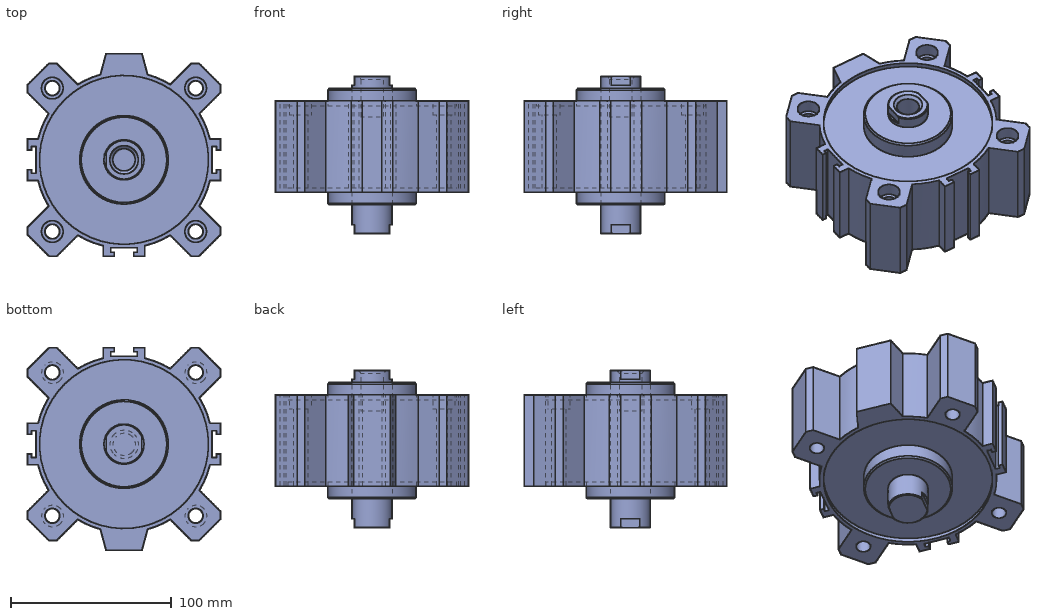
import cadquery as cq
import math

barrel_height = 57.0
barrel_diameter = 110.0
envelope_width = 120.0

recess_diameter = 105.0
recess_depth = 3.0
collar_diameter = 55.0
collar_rise = 7.7
collar_chamfer = 1.0

lug_width = 25.7
lug_reach = 75.3
lug_hole_radius = 63.0
lug_hole_diameter = 9.0
counterbore_diameter = 13.5
counterbore_depth = 8.6

rail_width = 26.0
slot_opening = 12.1
slot_inner_width = 16.4
slot_floor_radius = 54.7
rail_lip = 2.6

pad_reach = 66.0
pad_top_width = 22.4
pad_flank_angle = 15.0

rod_diameter = 25.0
rod_top_rise = 7.7
rod_bottom_rise = 18.0
rod_chamfer = 0.5
flat_spacing = 22.0
flat_height = 5.5
bore_diameter = 13.9
bore_mouth_diameter = 17.6
bore_depth = 25.2

half_envelope = envelope_width / 2
collar_top = barrel_height + collar_rise
collar_bottom = -collar_rise
rod_top = collar_top + rod_top_rise
rod_bottom = collar_bottom - rod_bottom_rise
rod_length = rod_top - rod_bottom
lug_angles = [45, 135, 225, 315]
rail_angles = [0, 180, 270]


def turned(body, angle):
    """Turn a body about the Z axis."""
    return body.rotate((0, 0, 0), (0, 0, 1), angle)


def lug(angle):
    """Straight arm from the axis outwards, its corners trimmed by the square envelope."""
    arm = cq.Workplane("XY").box(lug_reach, lug_width, barrel_height, centered=(False, True, False))
    envelope = cq.Workplane("XY").box(
        envelope_width, envelope_width, barrel_height, centered=(True, True, False)
    )
    return turned(arm, angle).intersect(envelope)


def rail(angle):
    """Block that carries one T-slot."""
    block = cq.Workplane("XY").box(half_envelope, rail_width, barrel_height, centered=(False, True, False))
    return turned(block, angle)


def t_slot(angle):
    """T-shaped channel open to the outside along the whole barrel."""
    opening = cq.Workplane("XY").box(
        half_envelope - slot_floor_radius, slot_opening, barrel_height, centered=(False, True, False)
    )
    undercut = cq.Workplane("XY").box(
        half_envelope - rail_lip - slot_floor_radius,
        slot_inner_width,
        barrel_height,
        centered=(False, True, False),
    )
    channel = opening.union(undercut).translate((slot_floor_radius, 0, 0))
    return turned(channel, angle)


def tapered_pad():
    """Trapezoidal pad that widens from its outer face to the axis."""
    half_top = pad_top_width / 2
    half_root = half_top + pad_reach * math.tan(math.radians(pad_flank_angle))
    outline = [(-half_root, 0), (half_root, 0), (half_top, pad_reach), (-half_top, pad_reach)]
    return cq.Workplane("XY").polyline(outline).close().extrude(barrel_height)


def end_recesses():
    """Shallow round recess in each end face."""
    lower = cq.Workplane("XY").circle(recess_diameter / 2).extrude(recess_depth)
    return lower.union(lower.translate((0, 0, barrel_height - recess_depth)))


def collar_column():
    """Chamfered column whose two ends form the collars."""
    column = cq.Workplane("XY").workplane(offset=collar_bottom).circle(collar_diameter / 2)
    return column.extrude(collar_top - collar_bottom).faces("|Z").chamfer(collar_chamfer)


def rod_passage():
    """Through hole in which the rod slides."""
    passage = cq.Workplane("XY").workplane(offset=collar_bottom).circle(rod_diameter / 2)
    return passage.extrude(collar_top - collar_bottom)


def lug_hole(angle):
    """Through hole with a counterbore at the upper end."""
    hole = cq.Workplane("XY").circle(lug_hole_diameter / 2).extrude(barrel_height)
    counterbore = cq.Workplane("XY").circle(counterbore_diameter / 2).extrude(counterbore_depth)
    stepped = hole.union(counterbore.translate((0, 0, barrel_height - counterbore_depth)))
    return turned(stepped.translate((lug_hole_radius, 0, 0)), angle)


def make_housing():
    body = cq.Workplane("XY").circle(barrel_diameter / 2).extrude(barrel_height)
    body = body.union(tapered_pad())
    for angle in lug_angles:
        body = body.union(lug(angle))
    for angle in rail_angles:
        body = body.union(rail(angle)).cut(t_slot(angle))
    body = body.cut(end_recesses()).union(collar_column()).cut(rod_passage())
    for angle in lug_angles:
        body = body.cut(lug_hole(angle))
    return body


def bore():
    """Blind bore from the upper rod end with a countersunk mouth."""
    bore_radius = bore_diameter / 2
    mouth_radius = bore_mouth_diameter / 2
    mouth_depth = mouth_radius - bore_radius
    section = [
        (0, rod_top),
        (mouth_radius, rod_top),
        (bore_radius, rod_top - mouth_depth),
        (bore_radius, rod_top - bore_depth),
        (0, rod_top - bore_depth),
    ]
    return cq.Workplane("XZ").polyline(section).close().revolve(360, (0, 0, 0), (0, 1, 0))


def end_flats():
    """Material outside the two parallel flats at each rod end."""
    ring = (
        cq.Workplane("XY")
        .rect(2 * rod_diameter, 2 * rod_diameter)
        .rect(flat_spacing, 2 * rod_diameter)
        .extrude(flat_height)
    )
    lower = ring.translate((0, 0, rod_bottom))
    upper = ring.translate((0, 0, rod_top - flat_height))
    return lower.union(upper)


def make_rod():
    body = cq.Workplane("XY").workplane(offset=rod_bottom).circle(rod_diameter / 2).extrude(rod_length)
    body = body.faces("|Z").chamfer(rod_chamfer)
    return body.cut(end_flats()).cut(bore())


housing = make_housing()
rod = make_rod()
result = cq.Compound.makeCompound([housing.val(), rod.val()])